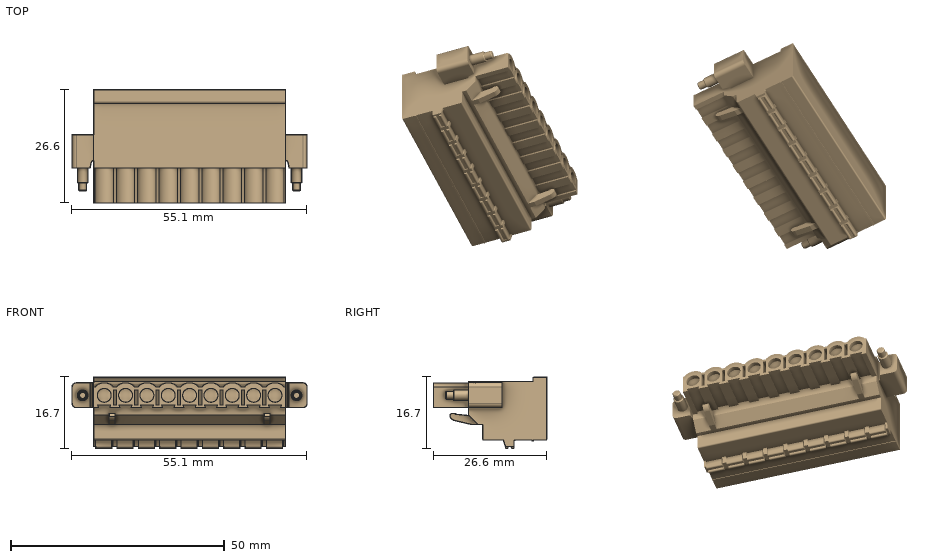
import cadquery as cq


pole_count = 9
pole_pitch = 5.0
block_width = pole_count * pole_pitch
half_width = block_width / 2
pole_centers = [(i - (pole_count - 1) / 2) * pole_pitch for i in range(pole_count)]
pole_borders = [(i - pole_count / 2) * pole_pitch for i in range(pole_count + 1)]

block_back = 18.4
block_top = 13.75
lip_top = 14.75
lip_length = 3.3
lip_edge_radius = 0.35
base_front = 3.35
base_top = 3.65
chamfer_top = 5.9
chamfer_back = 2.3
base_edge_radius = 0.35

funnel_length = 8.2
funnel_bottom = 7.6
funnel_valley = 12.4
funnel_top = 13.45
crown_half_width = 2.15
hole_z = 10.5
hole_diameter = 3.25
hole_depth = 1.1
slot_width = 0.75
slot_bottom = 8.25
slot_top = 11.8
notch_top_width = 3.05
notch_bottom_width = 2.65

flange_width = 5.05
flange_back = 7.85
flange_corner_radius = 1.0
relief_depth = 1.7
relief_bend_depth = 1.25
relief_mouth_width = 0.8
relief_bend_width = 0.55
relief_end_width = 0.3

screw_offset = 2.5
screw_diameter = 2.5
screw_length = 3.5
screw_chamfer = 0.15
tip_diameter = 1.85
tip_length = 1.85
tip_chamfer = 0.2

hook_width = 1.4
hook_x = 18.15
hook_bend_y = 0.75
hook_chin_y = -3.3
hook_chin_z = 4.6
hook_tip_y = -4.35
hook_tip_z = 5.6
hook_jaw_middle = (-3.95, 5.0)
hook_brow_middle = (-4.2, 6.05)
hook_top = 6.3
hook_nib_front = -3.6
hook_nib_back = -3.05
hook_nib_root = 6.1
hook_root_top = 5.8

rib_back = 10.75
rib_front = 8.65
rib_root_front = 8.2
rib_root_chamfer = 0.2
rib_width = 0.96
rib_height = 1.5
coding_width = 3.8
coding_offset = -(pole_pitch - rib_width - coding_width) / 2
foot_radius = 0.35
foot_height = 0.45
ridge_width = 0.4
ridge_height = 0.15

overlap = 0.2


def extrude_along_x(points, x_min, width):
    """Extrude a closed outline of (Y, Z) points from x_min towards +X."""
    return cq.Workplane("YZ", origin=(x_min, 0, 0)).polyline(points).close().extrude(width)


def box(x_min, x_max, y_min, y_max, z_min, z_max):
    return cq.Workplane("XY").box(
        x_max - x_min, y_max - y_min, z_max - z_min, centered=False
    ).translate((x_min, y_min, z_min))


def make_block():
    lip_front = block_back - lip_length
    outline = [
        (block_back, 0),
        (block_back, lip_top),
        (lip_front, lip_top),
        (lip_front, block_top),
        (0, block_top),
        (0, chamfer_top),
        (chamfer_back, base_top),
        (base_front, base_top),
        (base_front, 0),
    ]
    block = extrude_along_x(outline, -half_width, block_width)
    block = block.edges("|X and <Z").fillet(base_edge_radius)
    lip_edge = cq.selectors.NearestToPointSelector((0, lip_front, lip_top))
    return block.edges(lip_edge).fillet(lip_edge_radius)


def make_funnels():
    outline = cq.Workplane("XZ", origin=(0, overlap, 0)).moveTo(-half_width, funnel_bottom)
    outline = outline.lineTo(-half_width, funnel_valley)
    for x in pole_centers:
        outline = outline.lineTo(x - crown_half_width, funnel_valley)
        outline = outline.threePointArc((x, funnel_top), (x + crown_half_width, funnel_valley))
    outline = outline.lineTo(half_width, funnel_valley).lineTo(half_width, funnel_bottom)
    funnels = outline.close().extrude(funnel_length + overlap)

    holes = (
        cq.Workplane("XZ", origin=(0, -funnel_length, hole_z))
        .pushPoints([(x, 0) for x in pole_centers])
        .circle(hole_diameter / 2)
        .extrude(-hole_depth)
    )
    funnels = funnels.cut(holes)

    for x in pole_borders[1:-1]:
        slot = box(x - slot_width / 2, x + slot_width / 2, -funnel_length, 0, slot_bottom, slot_top)
        funnels = funnels.cut(slot)

    for x in pole_centers:
        notch = (
            cq.Workplane("XZ", origin=(x, overlap, 0))
            .moveTo(-notch_bottom_width / 2, funnel_bottom)
            .lineTo(-notch_top_width / 2, slot_bottom)
            .lineTo(notch_top_width / 2, slot_bottom)
            .lineTo(notch_bottom_width / 2, funnel_bottom)
            .close()
            .extrude(funnel_length + overlap)
        )
        funnels = funnels.cut(notch)
    return funnels


def make_left_flange():
    """Flange at the -X end, with its relief groove beside the block and its screw."""
    outer_x = -half_width - flange_width
    flange = box(outer_x, -half_width + overlap, 0, flange_back, funnel_bottom, funnel_top)
    flange = flange.edges("|Y and <X").fillet(flange_corner_radius)
    relief = (
        cq.Workplane("XY", origin=(-half_width, 0, funnel_bottom))
        .polyline([
            (overlap, 0),
            (-relief_mouth_width, 0),
            (-relief_bend_width, relief_bend_depth),
            (-relief_end_width, relief_depth),
            (overlap, relief_depth),
        ])
        .close()
        .extrude(funnel_top - funnel_bottom)
    )
    screw_plane = cq.Workplane("XZ", origin=(outer_x + screw_offset, overlap, hole_z))
    shank = screw_plane.circle(screw_diameter / 2).extrude(screw_length + overlap)
    shank = shank.faces("<Y").chamfer(screw_chamfer)
    tip = screw_plane.circle(tip_diameter / 2).extrude(screw_length + tip_length + overlap)
    tip = tip.faces("<Y").chamfer(tip_chamfer)
    return flange.cut(relief).union(shank).union(tip)


def make_hook(x):
    """Latch hook reaching forward from the chamfer, with a raised nib at its tip."""
    return (
        cq.Workplane("YZ", origin=(x - hook_width / 2, 0, 0))
        .moveTo(chamfer_back + overlap, base_top)
        .lineTo(hook_bend_y, base_top)
        .lineTo(hook_chin_y, hook_chin_z)
        .threePointArc(hook_jaw_middle, (hook_tip_y, hook_tip_z))
        .threePointArc(hook_brow_middle, (hook_nib_front, hook_top))
        .lineTo(hook_nib_back, hook_top)
        .lineTo(hook_nib_back, hook_nib_root)
        .lineTo(0, hook_root_top)
        .lineTo(overlap, hook_root_top)
        .close()
        .extrude(hook_width)
    )


def make_rib(x_min, x_max):
    outline = [
        (rib_back + rib_root_chamfer, overlap),
        (rib_back + rib_root_chamfer, 0),
        (rib_back, -rib_root_chamfer),
        (rib_back, -rib_height),
        (rib_front, -rib_height),
        (rib_root_front, 0),
        (rib_root_front, overlap),
    ]
    return extrude_along_x(outline, x_min, x_max - x_min)


def make_coding_block(x):
    """Square block with two rounded feet running along X."""
    x_min = x + coding_offset - coding_width / 2
    coding = box(x_min, x_min + coding_width, rib_front, rib_back, -rib_height, overlap)
    for y in (rib_front + foot_radius, rib_back - foot_radius):
        foot = (
            cq.Workplane("YZ", origin=(x_min, y, -rib_height))
            .moveTo(-foot_radius, 0)
            .lineTo(-foot_radius, foot_radius - foot_height)
            .threePointArc((0, -foot_height), (foot_radius, foot_radius - foot_height))
            .lineTo(foot_radius, overlap)
            .lineTo(-foot_radius, overlap)
            .close()
            .extrude(coding_width)
        )
        coding = coding.union(foot)
    return coding


def make_ridge():
    ridge_y = block_back - lip_length
    return box(
        -half_width, half_width,
        ridge_y - ridge_width / 2, ridge_y + ridge_width / 2,
        -ridge_height, overlap,
    )


left_flange = make_left_flange()
part = make_block().union(make_funnels())
part = part.union(left_flange).union(left_flange.mirror("YZ"))
part = part.union(make_ridge())
for side in (-1, 1):
    part = part.union(make_hook(side * hook_x))
for border in pole_borders:
    rib_min = max(border - rib_width / 2, -half_width)
    rib_max = min(border + rib_width / 2, half_width)
    part = part.union(make_rib(rib_min, rib_max))
for center in pole_centers:
    part = part.union(make_coding_block(center))

result = part